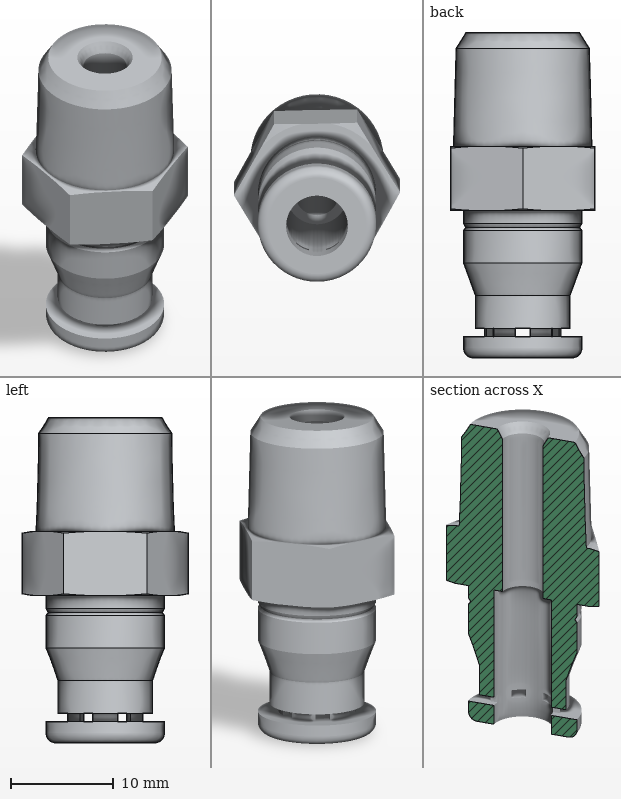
import cadquery as cq
import math

overall_height = 31.6
ring_top = 2.05
collar_bottom = 2.88
collar_top = 6.07
cone_top = 9.23
groove_bottom = 12.4
groove_root = 12.67
groove_top = 13.05
hex_bottom = 14.3
hex_top = 20.55
thread_chamfer_bottom = 30.05

body_diameter = 11.5
collar_diameter = 9.2
groove_diameter = 11.05
thread_base_diameter = 13.45
thread_end_diameter = 12.95
thread_tip_diameter = 11.03
tab_outer_diameter = 7.45
tube_bore_diameter = 6.0
through_bore_diameter = 4.2
countersink_diameter = 5.37
countersink_angle = 60.0

across_flats = 14.0
across_corners = across_flats / math.cos(math.radians(30))
hex_chamfer_circle = 14.28
hex_chamfer_angle = 10.0
hex_envelope_diameter = 18.95
ring_edge_radius = 0.95
slot_width = 1.42
slot_count = 6
countersink_depth = (
    (countersink_diameter - through_bore_diameter) / 2 / math.tan(math.radians(countersink_angle / 2))
)


def cylinder(diameter, bottom, top):
    return cq.Workplane("XY").workplane(offset=bottom).circle(diameter / 2).extrude(top - bottom)


def revolve_profile(steps):
    """Revolve a solid about Z from (diameter, height) pairs listed upwards."""
    outline = [(0, steps[0][1])]
    outline += [(diameter / 2, height) for diameter, height in steps]
    outline.append((0, steps[-1][1]))
    return cq.Workplane("XZ").polyline(outline).close().revolve(360, (0, 0, 0), (0, 1, 0))


def make_body():
    """Collar, cone and grooved body below the hexagon."""
    return revolve_profile([
        (collar_diameter, collar_bottom),
        (collar_diameter, collar_top),
        (body_diameter, cone_top),
        (body_diameter, groove_bottom),
        (groove_diameter, groove_root),
        (body_diameter, groove_top),
        (body_diameter, hex_bottom),
    ])


def make_hexagon():
    """Hexagon with corners on Y, its corners chamfered at both ends."""
    prism = (
        cq.Workplane("XY")
        .workplane(offset=hex_bottom)
        .transformed(rotate=(0, 0, 90))
        .polygon(6, across_corners)
        .extrude(hex_top - hex_bottom)
    )
    drop = (hex_envelope_diameter - hex_chamfer_circle) / 2 * math.tan(math.radians(hex_chamfer_angle))
    envelope = revolve_profile([
        (hex_chamfer_circle, hex_bottom),
        (hex_envelope_diameter, hex_bottom + drop),
        (hex_envelope_diameter, hex_top - drop),
        (hex_chamfer_circle, hex_top),
    ])
    return prism.intersect(envelope)


def make_thread_end():
    """Plain tapered thread envelope with a chamfered tip."""
    return revolve_profile([
        (thread_base_diameter, hex_top),
        (thread_end_diameter, thread_chamfer_bottom),
        (thread_tip_diameter, overall_height),
    ])


def make_release_ring():
    return cylinder(body_diameter, 0, ring_top).faces("<Z").edges().fillet(ring_edge_radius)


def make_tabs():
    """Sleeve split by evenly spaced radial slots, joining the ring to the collar."""
    tabs = cylinder(tab_outer_diameter, ring_top, collar_bottom)
    slot_angle = 360 / slot_count
    for index in range(slot_count):
        slot = (
            cq.Workplane("XY")
            .workplane(offset=ring_top)
            .rect(slot_width, tab_outer_diameter)
            .extrude(collar_bottom - ring_top)
            .translate((0, tab_outer_diameter / 2, 0))
            .rotate((0, 0, 0), (0, 0, 1), index * slot_angle)
        )
        tabs = tabs.cut(slot)
    return tabs


def make_bore():
    """Tube socket from below, through bore and countersink at the tip."""
    socket = cylinder(tube_bore_diameter, 0, hex_bottom)
    passage = revolve_profile([
        (through_bore_diameter, 0),
        (through_bore_diameter, overall_height - countersink_depth),
        (countersink_diameter, overall_height),
    ])
    return socket.union(passage)


result = (
    make_body()
    .union(make_hexagon())
    .union(make_thread_end())
    .union(make_release_ring())
    .union(make_tabs())
    .cut(make_bore())
)